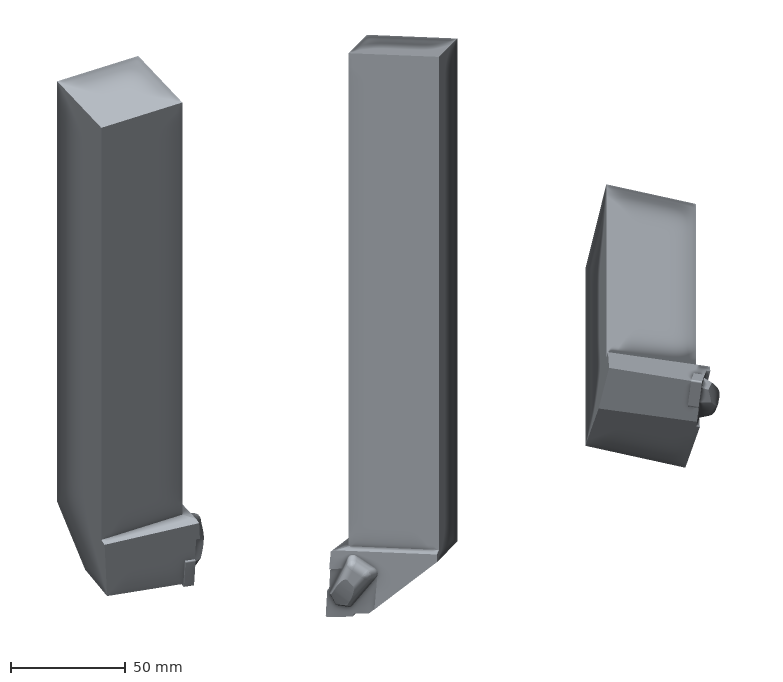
import cadquery as cq
import math

LENGTH = 251.4
SHANK = 40.2

HEAD_DEPTH = 44.7
SHOULDER_Z = 32.0
SHOULDER_SLOPE = 0.25
DIAGONAL_TOP_Z = 27.5
DIAGONAL_SLOPE = 0.8
SIDE_X = 49.8
END_Z = 1.0
EDGE_ANGLE = 5.0
RELIEF = 4.3

INSERT_REACH = 50.3
INSERT_TIP_Y = 40.5
INSERT_SIDE = 12.8
INSERT_THICKNESS = 4.8
INSERT_RADIUS = 0.8
INSERT_CORNER = math.radians(90 - 2 * EDGE_ANGLE)
TIP_EXCESS = INSERT_RADIUS * (1 / (math.sqrt(2) * math.sin(INSERT_CORNER / 2)) - 1)
INSERT_TIP = (INSERT_REACH + TIP_EXCESS, INSERT_TIP_Y, -TIP_EXCESS)
RAKE = 0.1
RECESS_SIDE = 22.5
RECESS_HEIGHT = 10.0

CLAMP_TOP_Y = 51.0
CLAMP_BASE_Y = 41.5
CLAMP_TAPER = 18.0
CLAMP_OUTLINE = [(23.0, 22.0), (39.0, 32.0), (48.5, 11.0), (45.5, 5.8), (38.7, 5.0)]
CLAMP_CORNER_RADIUS = 3.0
CLAMP_TOP_RADIUS = 3.8
NOSE_START = 13.8
NOSE_MIDDLE = 21.9
NOSE_MIDDLE_Y = 47.8
NOSE_END = 30.2
NOSE_END_Y = 42.0
CLAMP_WIDTH = 50.3


def xz_plane(y):
    """Workplane at depth y with local axes X and Z, facing -Y."""
    return cq.Workplane("XZ", origin=(0, y, 0))


def head_points(relief):
    """Head outline with its side and end faces shifted inward by the relief."""
    lean = math.tan(math.radians(EDGE_ANGLE))
    corner_x = SIDE_X - relief
    corner_z = END_Z + relief
    end_x = (DIAGONAL_TOP_Z - corner_z - lean * corner_x) / (DIAGONAL_SLOPE - lean)
    end_z = DIAGONAL_TOP_Z - DIAGONAL_SLOPE * end_x
    rise = (SHOULDER_Z - SHOULDER_SLOPE * (corner_x - SHANK) - corner_z) / (1 - SHOULDER_SLOPE * lean)
    return [
        (0, SHOULDER_Z),
        (SHANK, SHOULDER_Z),
        (corner_x - lean * rise, corner_z + rise),
        (corner_x, corner_z),
        (end_x, end_z),
        (0, DIAGONAL_TOP_Z),
    ]


def make_head():
    head = (
        xz_plane(0).polyline(head_points(RELIEF)).close()
        .workplane(offset=-HEAD_DEPTH).polyline(head_points(0)).close()
        .loft(ruled=True)
    )
    rear_z = SHOULDER_Z - SHOULDER_SLOPE * (HEAD_DEPTH - SHANK)
    side_profile = (
        cq.Workplane("YZ")
        .polyline([(0, 0), (HEAD_DEPTH, 0), (HEAD_DEPTH, rear_z), (SHANK, SHOULDER_Z), (0, SHOULDER_Z)])
        .close().extrude(SIDE_X)
    )
    return head.intersect(side_profile)


def make_shank():
    base = cq.Workplane("XY", origin=(0, 0, SHOULDER_Z))
    return base.rect(SHANK, SHANK, centered=False).extrude(LENGTH - SHOULDER_Z)


def make_clamp():
    finger = (
        xz_plane(CLAMP_BASE_Y).polyline(CLAMP_OUTLINE).close()
        .extrude(CLAMP_BASE_Y - CLAMP_TOP_Y, taper=CLAMP_TAPER)
    )
    finger = finger.edges("not(#Y)").edges("<X or >Z").fillet(CLAMP_CORNER_RADIUS)
    finger = finger.faces(">Y").edges().fillet(CLAMP_TOP_RADIUS)
    diagonal = cq.Plane(origin=(SHANK / 2, 0, SHANK / 2), xDir=(1, 0, -1), normal=(1, 0, 1))
    profile = (
        cq.Workplane(diagonal)
        .moveTo(-SHANK, CLAMP_BASE_Y)
        .lineTo(-SHANK, CLAMP_TOP_Y)
        .lineTo(NOSE_START, CLAMP_TOP_Y)
        .threePointArc((NOSE_MIDDLE, NOSE_MIDDLE_Y), (NOSE_END, NOSE_END_Y))
        .lineTo(NOSE_END, CLAMP_BASE_Y)
        .close().extrude(CLAMP_WIDTH, both=True)
    )
    return finger.intersect(profile)


def tip_rhombus(side, thickness):
    """Rhombus plate with a corner at the insert tip; positive thickness goes above the face."""
    lean = math.tan(math.radians(EDGE_ANGLE))
    end_edge = cq.Vector(-1, RAKE * (1 + lean), lean)
    normal = cq.Vector(RAKE, 1, -RAKE)
    face = cq.Plane(origin=INSERT_TIP, xDir=end_edge, normal=normal)
    across = (side * math.cos(INSERT_CORNER), side * math.sin(INSERT_CORNER))
    return (
        cq.Workplane(face)
        .polyline([(0, 0), (side, 0), (side + across[0], across[1]), across])
        .close().extrude(thickness)
    )


def make_insert():
    plate = tip_rhombus(INSERT_SIDE, -INSERT_THICKNESS)
    thickness_edges = f"|({RAKE}, 1, {-RAKE})"
    return plate.edges(thickness_edges).fillet(INSERT_RADIUS)


insert = make_insert()
head = make_head().cut(tip_rhombus(RECESS_SIDE, RECESS_HEIGHT))
clamp = make_clamp()
holder = head.union(make_shank()).union(clamp).cut(insert)

result = cq.Compound.makeCompound([holder.val(), insert.val()])